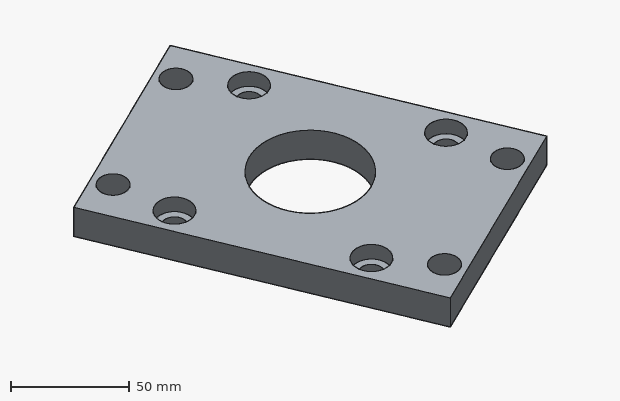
import cadquery as cq

length = 170.0
width = 115.0
thickness = 16.0

bore_diameter = 55.0

corner_hole_diameter = 14.3
corner_spacing_x = 149.6
corner_spacing_y = 75.0

screw_hole_diameter = 11.0
counterbore_diameter = 18.0
counterbore_depth = 8.0
screw_spacing = 88.9


def top_points(body, spacing_x, spacing_y):
    """Select the four corners of a centred rectangle on the top face."""
    return (
        body.faces(">Z")
        .workplane(origin=(0, 0, 0))
        .rect(spacing_x, spacing_y, forConstruction=True)
        .vertices()
    )


plate = cq.Workplane("XY").box(length, width, thickness)
plate = plate.faces(">Z").workplane().hole(bore_diameter)
plate = top_points(plate, corner_spacing_x, corner_spacing_y).hole(corner_hole_diameter)
plate = top_points(plate, screw_spacing, screw_spacing).cboreHole(
    screw_hole_diameter, counterbore_diameter, counterbore_depth
)

result = plate